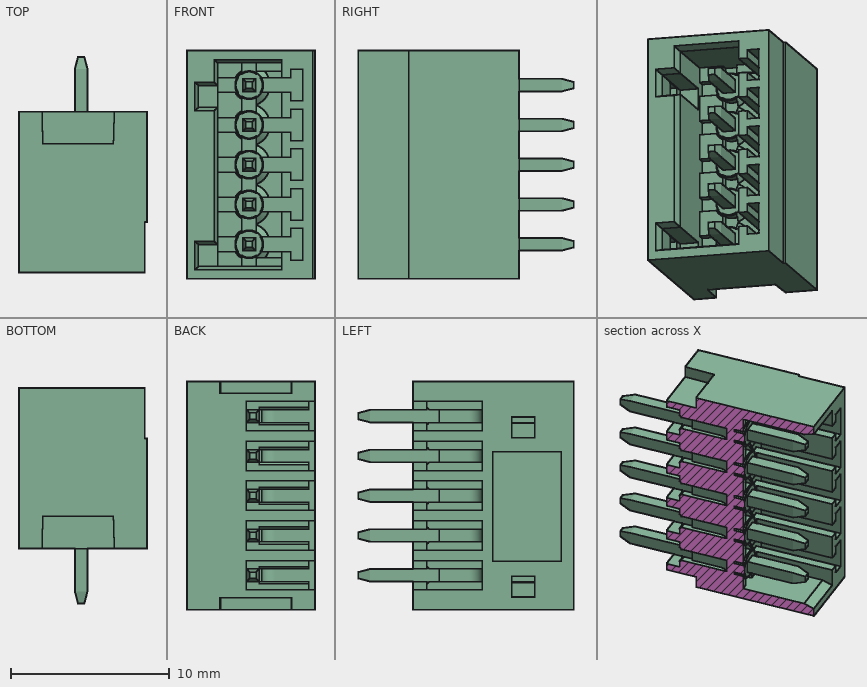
import cadquery as cq

HEIGHT = 14.4
DEPTH = 10.14
MOUTH_WIDTH = 7.95
STEP_WIDTH = 8.1
STEP_Y = 3.18

POLE_COUNT = 5
PITCH = 2.5
POLE_X = 3.93
POLE_Z = [HEIGHT / 2 + (i - (POLE_COUNT - 1) / 2) * PITCH for i in range(POLE_COUNT)]

PIN_SIZE = 0.8
PIN_TIP_SIZE = 0.4
PIN_TAPER = 0.76
PIN_FRONT_Y = 0.85
PIN_BACK_Y = 13.6

CAVITY_LEFT_X = 1.73
CAVITY_RIGHT_X = 5.98
END_WALL = 0.58
KEYWAY_X = 0.52
KEYWAY_HEIGHT = 1.8
LEAD_INSET = 0.22
LEAD_DEPTH = 0.66
KEYWAY_FLOOR_Y = 4.61
FLOOR_Y = 4.85
POCKET_Y = 5.18
GROOVE_Y = 5.47

GROOVE_WIDTH = 0.92
T_HEAD_X = 6.55
T_HEAD_END_X = 7.3
T_HEAD_HEIGHT = 1.99
POCKET_END_WALL = 1.32
CONE_RADIUS = 1.31
COLLAR_RADIUS = 0.9
COLLAR_Y = 4.75
COLLAR_CHAMFER = 0.06

PANEL_Y = (0.8, 5.11)
PANEL_HEIGHT = 6.9
PANEL_CENTRE_Z = 6.51
PANEL_DEPTH = 0.92
WINDOW_Y = (2.48, 3.9)
WINDOW_HEIGHT = 1.3

SLOT_Y = 5.79
SLOT_WIDTH = 1.86
LEDGE_X = 0.42
LEDGE_Y = 9.26
LEDGE_CHAMFER = 0.15
SLOT_FLOOR_X = 3.37
SLOT_FLOOR_END_Y = 8.5
SLOT_FILLET = 0.79

RELIEF_Y = 8.1
RELIEF_DEPTH = 0.76
RELIEF_FRONT_X = (1.51, 5.96)
RELIEF_BACK_X = (1.47, 6.02)

INNER_LEFT_X = CAVITY_LEFT_X + LEAD_INSET
INNER_Z = (END_WALL + LEAD_INSET, HEIGHT - END_WALL - LEAD_INSET)
PIN_NEAR_X = POLE_X - PIN_SIZE / 2
PIN_FAR_X = POLE_X + PIN_SIZE / 2
KEYWAY_Z = [END_WALL + KEYWAY_HEIGHT / 2 + i * (POLE_COUNT - 1) * PITCH for i in (0, 1)]


def box(x_range, y_range, z_range):
    """Block spanning the given (low, high) range along each axis."""
    ranges = (x_range, y_range, z_range)
    sizes = [high - low for low, high in ranges]
    corner = tuple(low for low, high in ranges)
    return cq.Workplane("XY").box(*sizes, centered=False).translate(corner)


def span(centre, size):
    """Low and high ends of a size centred on a coordinate."""
    return (centre - size / 2, centre + size / 2)


def facing_mouth(y):
    """Workplane at the given Y whose local axes are X and Z, with -Y as its normal."""
    return cq.Workplane(cq.Plane((0, y, 0), xDir=(1, 0, 0), normal=(0, -1, 0)))


def cavity_outline(inset):
    """Cavity outline in (X, Z); the inset moves every wall but the right one inwards."""
    left = CAVITY_LEFT_X + inset
    key_left = KEYWAY_X + inset
    bottom = END_WALL + inset
    top = HEIGHT - END_WALL - inset
    lower, upper = [span(z, KEYWAY_HEIGHT - 2 * inset) for z in KEYWAY_Z]
    return [
        (CAVITY_RIGHT_X, bottom),
        (CAVITY_RIGHT_X, top),
        (left, top),
        (left, upper[1]),
        (key_left, upper[1]),
        (key_left, upper[0]),
        (left, upper[0]),
        (left, lower[1]),
        (key_left, lower[1]),
        (key_left, bottom),
    ]


def housing():
    """Solid block with a thinner right wall near the mouth."""
    front = box((0, MOUTH_WIDTH), (0, STEP_Y), (0, HEIGHT))
    rear = box((0, STEP_WIDTH), (STEP_Y, DEPTH), (0, HEIGHT))
    return front.union(rear)


def cavity():
    """Tapered lead-in, straight part, and the slightly deeper floor beside the keyways."""
    mouth = facing_mouth(0).polyline(cavity_outline(0)).close()
    lead_in = (
        mouth.workplane(offset=-LEAD_DEPTH)
        .polyline(cavity_outline(LEAD_INSET))
        .close()
        .loft(ruled=True)
    )
    straight = facing_mouth(LEAD_DEPTH).polyline(cavity_outline(LEAD_INSET)).close()
    floor = box((INNER_LEFT_X, CAVITY_RIGHT_X), (KEYWAY_FLOOR_Y, FLOOR_Y), INNER_Z)
    return lead_in.union(straight.extrude(LEAD_DEPTH - KEYWAY_FLOOR_Y)).union(floor)


def floor_pocket():
    """Lowered floor to the right of the pins."""
    return box(
        (POLE_X, CAVITY_RIGHT_X),
        (FLOOR_Y, POCKET_Y),
        (POCKET_END_WALL, HEIGHT - POCKET_END_WALL),
    )


def cone(z):
    """Tapered foot around one pin, rising from the pocket to the end of the collar."""
    return (
        facing_mouth(POCKET_Y)
        .center(POLE_X, z)
        .circle(CONE_RADIUS)
        .workplane(offset=POCKET_Y - COLLAR_Y)
        .circle(COLLAR_RADIUS)
        .loft()
    )


def floor_grooves():
    """Groove linking all pins, and per pole a cross groove that ends in a T-slot."""
    grooves = box(
        span(POLE_X, GROOVE_WIDTH),
        (COLLAR_Y, GROOVE_Y),
        INNER_Z,
    )
    for z in POLE_Z:
        cross = box(
            (INNER_LEFT_X, T_HEAD_X),
            (COLLAR_Y, GROOVE_Y),
            span(z, GROOVE_WIDTH),
        )
        neck = box((CAVITY_RIGHT_X, T_HEAD_X), (0, GROOVE_Y), span(z, GROOVE_WIDTH))
        head = box((T_HEAD_X, T_HEAD_END_X), (0, GROOVE_Y), span(z, T_HEAD_HEIGHT))
        grooves = grooves.union(cross).union(neck).union(head)
    return grooves


def collar(z):
    """Chamfered cylinder around one pin, standing in the floor grooves."""
    return (
        facing_mouth(GROOVE_Y)
        .center(POLE_X, z)
        .circle(COLLAR_RADIUS)
        .extrude(GROOVE_Y - COLLAR_Y)
        .faces("<Y")
        .chamfer(COLLAR_CHAMFER)
    )


def left_face_cuts():
    """Shallow rectangular panel, and a window into each keyway."""
    cuts = box((0, PANEL_DEPTH), PANEL_Y, span(PANEL_CENTRE_Z, PANEL_HEIGHT))
    for z in KEYWAY_Z:
        cuts = cuts.union(box((0, KEYWAY_X + LEAD_INSET), WINDOW_Y, span(z, WINDOW_HEIGHT)))
    return cuts


def rear_slot(z):
    """Stepped slot for one pin, open to the left and to the rear."""
    outer = box((0, LEDGE_X), (SLOT_Y, DEPTH), span(z, SLOT_WIDTH))
    rear = box((0, PIN_FAR_X), (LEDGE_Y, DEPTH), span(z, SLOT_WIDTH))
    pin_channel = (
        box((0, SLOT_FLOOR_X), (SLOT_Y, LEDGE_Y), span(z, PIN_SIZE))
        .edges(">X and <Y")
        .fillet(SLOT_FILLET)
    )
    pin_exit = box((0, PIN_NEAR_X), (SLOT_FLOOR_END_Y, LEDGE_Y), span(z, PIN_SIZE))
    half = PIN_SIZE / 2
    flare = (
        cq.Workplane("YZ")
        .polyline(
            [
                (LEDGE_Y - LEDGE_CHAMFER, z - half),
                (LEDGE_Y, z - half - LEDGE_CHAMFER),
                (LEDGE_Y, z + half + LEDGE_CHAMFER),
                (LEDGE_Y - LEDGE_CHAMFER, z + half),
            ]
        )
        .close()
        .extrude(PIN_NEAR_X)
    )
    return outer.union(rear).union(pin_channel).union(pin_exit).union(flare)


def end_relief():
    """Slightly tapered recess at the rear edge of the top face."""
    return (
        cq.Workplane("XY", origin=(0, 0, HEIGHT - RELIEF_DEPTH))
        .polyline(
            [
                (RELIEF_FRONT_X[0], RELIEF_Y),
                (RELIEF_FRONT_X[1], RELIEF_Y),
                (RELIEF_BACK_X[1], DEPTH),
                (RELIEF_BACK_X[0], DEPTH),
            ]
        )
        .close()
        .extrude(RELIEF_DEPTH)
    )


def pin(z):
    """Square pin with both ends tapered."""
    shank_start = PIN_FRONT_Y + PIN_TAPER
    shank_end = PIN_BACK_Y - PIN_TAPER
    shank = box(span(POLE_X, PIN_SIZE), (shank_start, shank_end), span(z, PIN_SIZE))
    for base_y, tip_direction in ((shank_start, 1), (shank_end, -1)):
        tip = (
            facing_mouth(base_y)
            .center(POLE_X, z)
            .rect(PIN_SIZE, PIN_SIZE)
            .workplane(offset=tip_direction * PIN_TAPER)
            .rect(PIN_TIP_SIZE, PIN_TIP_SIZE)
            .loft(ruled=True)
        )
        shank = shank.union(tip)
    return shank


top_relief = end_relief()
bottom_relief = top_relief.mirror("XY", (0, 0, HEIGHT / 2))

body = housing().cut(cavity()).cut(floor_pocket())
for pole_z in POLE_Z:
    body = body.union(cone(pole_z))
body = body.cut(floor_grooves())
body = body.cut(left_face_cuts()).cut(top_relief).cut(bottom_relief)
for pole_z in POLE_Z:
    body = body.union(collar(pole_z)).cut(rear_slot(pole_z)).union(pin(pole_z))

result = body